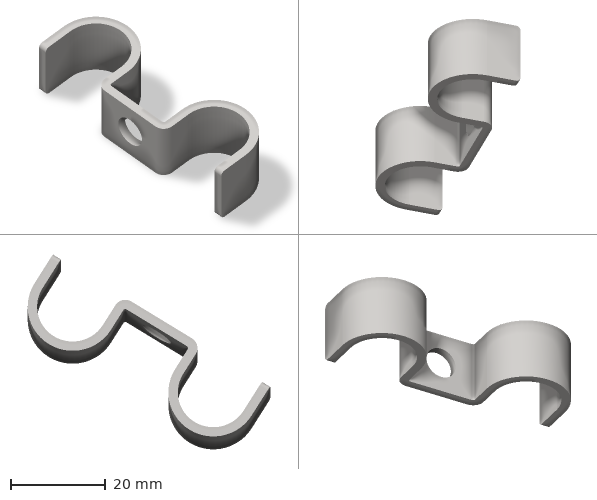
import cadquery as cq

length = 54.0
depth = 17.0
strip_width = 14.0
thickness = 2.0
saddle_radius = 9.5
bend_inner_radius = 0.5
hole_diameter = 7.0
tip_radius = 1.0

saddle_inner_radius = saddle_radius - thickness
saddle_x = length / 2 - saddle_radius
saddle_y = depth - saddle_radius
web_half = saddle_x - saddle_inner_radius
bend_outer_radius = bend_inner_radius + thickness


def block(x_min, x_max, y_min, y_max):
    """Full-width block spanning the given X and Y limits, centred on Z = 0."""
    return (
        cq.Workplane("XY")
        .box(x_max - x_min, y_max - y_min, strip_width)
        .translate(((x_min + x_max) / 2, (y_min + y_max) / 2, 0))
    )


def saddle(side):
    """Half-round arch joining an inner and an outer leg."""
    ring = (
        cq.Workplane("XY", origin=(0, 0, -strip_width / 2))
        .center(side * saddle_x, saddle_y)
        .circle(saddle_radius)
        .circle(saddle_inner_radius)
        .extrude(strip_width)
    )
    return ring.intersect(block(-length, length, saddle_y, depth))


def channel():
    """Central U: web and two inner legs, with rounded bends."""
    outside = block(-web_half, web_half, 0, saddle_y)
    outside = outside.edges("|Z and <Y").fillet(bend_outer_radius)
    inside_half = web_half - thickness
    inside = block(-inside_half, inside_half, thickness, saddle_y)
    inside = inside.edges("|Z and <Y").fillet(bend_inner_radius)
    return outside.cut(inside)


def outer_leg(side):
    """Straight free leg with its two end corners rounded."""
    leg_x = side * (length - thickness) / 2
    leg = block(leg_x - thickness / 2, leg_x + thickness / 2, 0, saddle_y)
    return leg.edges("|X and <Y").fillet(tip_radius)


result = channel()
for side in (-1, 1):
    result = result.union(saddle(side)).union(outer_leg(side))

screw_hole = (
    cq.Workplane("XZ")
    .circle(hole_diameter / 2)
    .extrude(-thickness)
)
result = result.cut(screw_hole)